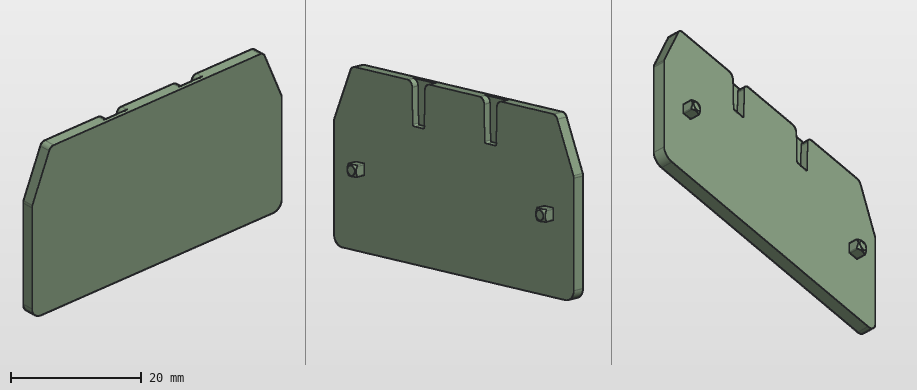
import cadquery as cq

plate_length = 51.45
plate_height = 28.9
plate_thickness = 2.05
shoulder_height = 19.8
top_half_width = 21.9
bottom_corner_radius = 1.85
top_corner_radius = 1.05
shoulder_radius = 1.05

slot_centers = (7.55, -7.85)
slot_depth = 1.3
slot_height = 7.15
slot_floor_width = 2.45
slot_mouth_width = 2.8
slot_mouth_radius = 1.05
slot_floor_radius = 0.3
selection_margin = 0.05

pegs = ((20.1, 1.9), (-20.3, 2.0))
peg_level = 13.1
peg_length = 1.95
peg_edge_radius = 0.15
peg_tip_diameter = 1.6
peg_cone_flare = 1.2


def make_plate():
    """Plate with its -X face on the YZ plane and its bottom edge at Z = 0."""
    half_length = plate_length / 2
    outline = [
        (-half_length, 0),
        (half_length, 0),
        (half_length, shoulder_height),
        (top_half_width, plate_height),
        (-top_half_width, plate_height),
        (-half_length, shoulder_height),
    ]
    plate = cq.Workplane("YZ").polyline(outline).close().extrude(plate_thickness)
    plate = plate.edges("|X and <Z").fillet(bottom_corner_radius)
    plate = plate.edges("|X and >Z").fillet(top_corner_radius)
    shoulder_edges = cq.selectors.BoxSelector(
        (0, -plate_length, shoulder_height - shoulder_radius),
        (plate_thickness, plate_length, shoulder_height + shoulder_radius),
    )
    return plate.edges("|X").edges(shoulder_edges).fillet(shoulder_radius)


def cut_slot(plate, center):
    """Cut one tapered slot, then round its floor corners and its mouth."""
    floor_level = plate_height - slot_height
    half_floor = slot_floor_width / 2
    half_mouth = slot_mouth_width / 2
    slot = (
        cq.Workplane("YZ")
        .polyline([
            (center - half_floor, floor_level),
            (center + half_floor, floor_level),
            (center + half_mouth, plate_height),
            (center - half_mouth, plate_height),
        ])
        .close()
        .extrude(slot_depth)
        .edges("|X and <Z")
        .fillet(slot_floor_radius)
    )
    plate = plate.cut(slot)
    mouth_edges = cq.selectors.BoxSelector(
        (0, center - slot_mouth_width, plate_height - selection_margin),
        (slot_depth, center + slot_mouth_width, plate_height + selection_margin),
    )
    return plate.edges("|X").edges(mouth_edges).fillet(slot_mouth_radius)


def make_peg(center, side):
    """Square peg trimmed by a cone that leaves a round flat tip."""
    peg = (
        cq.Workplane("YZ", origin=(-peg_length, center, peg_level))
        .rect(side, side)
        .extrude(peg_length)
        .edges("|X")
        .fillet(peg_edge_radius)
    )
    tip_radius = peg_tip_diameter / 2
    base_radius = tip_radius + peg_cone_flare * peg_length
    cone = cq.Solid.makeCone(
        tip_radius,
        base_radius,
        peg_length,
        pnt=cq.Vector(-peg_length, center, peg_level),
        dir=cq.Vector(1, 0, 0),
    )
    return peg.intersect(cq.Workplane(cone))


result = make_plate()
for slot_center in slot_centers:
    result = cut_slot(result, slot_center)
for peg_center, peg_side in pegs:
    result = result.union(make_peg(peg_center, peg_side))